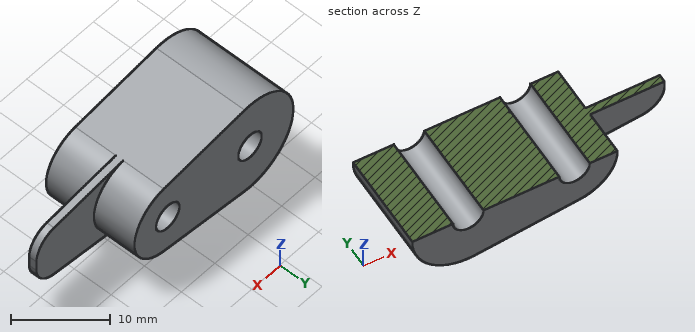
import cadquery as cq
import math

length = 32.4
body_width = 12.0
body_height = 13.0
small_radius = 5.0
hole_spacing = 12.3
hole_diameter = 3.5
tab_thickness = 1.0
tab_corner_radius = 3.0

large_radius = body_height / 2

flank_angle = math.asin((large_radius - small_radius) / hole_spacing)
tab_end_x = length - large_radius


def flank_point(center_x, radius):
    """Upper point where a flank touches a round end."""
    return (center_x + radius * math.sin(flank_angle), radius * math.cos(flank_angle))


def mirrored(point):
    """The matching point on the lower flank."""
    return (point[0], -point[1])


def extrude_centered(outline, thickness):
    """Extrude an XZ outline evenly to both sides of Y = 0."""
    return outline.extrude(thickness / 2, both=True)


large_tangent = flank_point(0, large_radius)
small_tangent = flank_point(hole_spacing, small_radius)


def make_body():
    """Tapered block with a round at each end."""
    outline = (
        cq.Workplane("XZ")
        .moveTo(*large_tangent)
        .lineTo(*small_tangent)
        .threePointArc((hole_spacing + small_radius, 0), mirrored(small_tangent))
        .lineTo(*mirrored(large_tangent))
        .threePointArc((-large_radius, 0), large_tangent)
        .close()
    )
    return extrude_centered(outline, body_width)


def make_tab():
    """Thin central tab that continues the flanks and has rounded end corners."""
    end_half_height = large_radius / math.cos(flank_angle) - tab_end_x * math.tan(flank_angle)
    end_corner = (tab_end_x, end_half_height)
    outline = (
        cq.Workplane("XZ")
        .polyline([large_tangent, end_corner, mirrored(end_corner), mirrored(large_tangent)])
        .close()
    )
    return extrude_centered(outline, tab_thickness).edges("|Y and >X").fillet(tab_corner_radius)


def make_holes():
    """Through holes concentric with the two round ends."""
    outline = (
        cq.Workplane("XZ")
        .pushPoints([(0, 0), (hole_spacing, 0)])
        .circle(hole_diameter / 2)
    )
    return extrude_centered(outline, body_width)


result = make_body().union(make_tab()).cut(make_holes())